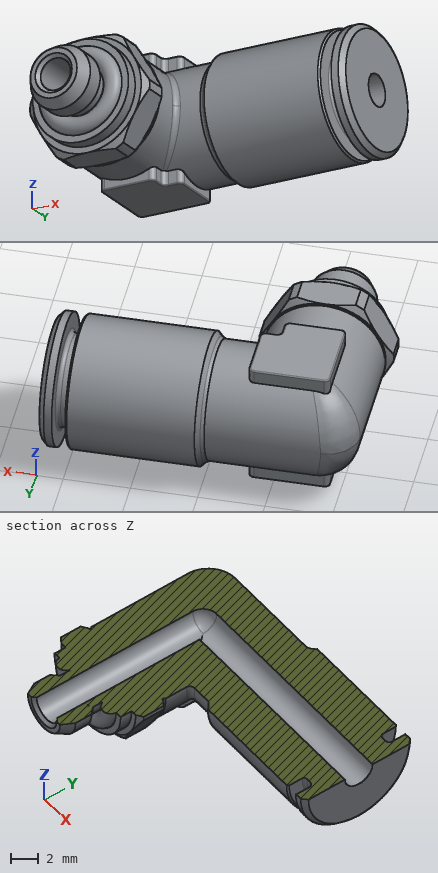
import cadquery as cq
import math


pipe_radius = 4.5
outer_bend_radius = 2.43
inner_bend_radius = 0.4

pad_size = 6.0
pad_notch = 1.5
pad_far = 3.75
pad_near = pad_far - pad_size
pad_height = 5.0
pad_corner_radius = 0.4
pad_edge_radius = 0.1

sleeve_radius = 5.0
shoulder_start = 6.57
shoulder_root = 6.85
shoulder_root_radius = 4.66
sleeve_start = 7.19
sleeve_end = 16.83
sleeve_chamfer = 0.15
neck_radius = 3.45
neck_fillet_sleeve = 0.24
neck_fillet_flange = 0.33
flange_start = 17.8
flange_end = 18.8
flange_chamfer = 0.4

pipe_end = -6.88
pipe_end_chamfer = 0.1
hex_top = -7.0
hex_bottom = -9.52
hex_across_flats = 9.0
hex_corner_radius = 5.0
hex_chamfer_height = 0.35
collar_radius = 4.0
collar_bottom = -10.52
seal_outer_radius = 3.45
seal_section_radius = 0.74
seal_bottom = -11.19
groove_radius = 2.0
groove_bottom = -11.52
thread_radius = 2.5
thread_top = -12.05
thread_bottom = -13.5
tip_radius = 1.95
tip_end = -14.5

bore_radius = 2.5 / 2
bore_chamfer = 0.29


def revolve_about_x(outline):
    return outline.close().revolve(360, (0, 0, 0), (1, 0, 0))


def revolve_about_y(outline):
    return outline.close().revolve(360, (0, 0, 0), (0, 1, 0))


def mitred_pipe():
    """Two equal pipes that meet on the mitre plane X = -Y."""
    arm = cq.Workplane("YZ").workplane(offset=-pipe_radius).circle(pipe_radius)
    arm = arm.extrude(shoulder_start + pipe_radius)
    leg = cq.Workplane("XZ").workplane(offset=-pipe_radius).circle(pipe_radius)
    leg = leg.extrude(pipe_radius - pipe_end).faces("<Y").chamfer(pipe_end_chamfer)
    reach = 2 * pipe_radius
    arm_side = cq.Workplane("XY").polyline([(-reach, reach), (reach, reach), (reach, -reach)])
    arm_side = arm_side.close().extrude(reach, both=True)
    return arm.intersect(arm_side).union(leg.cut(arm_side))


def pads():
    inner_far = pad_far - pad_notch
    outline = [
        (pad_near, -pad_near),
        (pad_far, -pad_near),
        (pad_far, -inner_far),
        (inner_far, -inner_far),
        (inner_far, -pad_far),
        (pad_near, -pad_far),
    ]
    block = cq.Workplane("XY").polyline(outline).close().extrude(pad_height, both=True)
    block = block.edges("|Z").fillet(pad_corner_radius)
    return block.faces("<Z or >Z").edges().fillet(pad_edge_radius)


def mitre_edges(near, far):
    """Box around the mitre edges that lie between two distances from both pipe axes."""
    return cq.selectors.BoxSelector((near, -near, -pipe_radius), (far, -far, pipe_radius))


def elbow():
    """Pipes and pads joined first, so that the bends run out under the pads."""
    body = mitred_pipe().union(pads())
    bend_near = 0.7 * pipe_radius
    body = body.edges(mitre_edges(-bend_near, -pipe_radius)).fillet(outer_bend_radius)
    return body.edges(mitre_edges(bend_near, pipe_radius)).fillet(inner_bend_radius)


def sleeve():
    """Shouldered sleeve with a necked flange at its free end."""
    start = pipe_radius
    arc = math.sqrt(0.5)
    flange_foot = flange_start - neck_fillet_flange
    sleeve_foot = sleeve_end + neck_fillet_sleeve
    outline = (
        cq.Workplane("XY")
        .moveTo(start, 0)
        .lineTo(start, pipe_radius)
        .lineTo(shoulder_start, pipe_radius)
        .lineTo(shoulder_root, shoulder_root_radius)
        .lineTo(sleeve_start, sleeve_radius)
        .lineTo(sleeve_end - sleeve_chamfer, sleeve_radius)
        .lineTo(sleeve_end, sleeve_radius - sleeve_chamfer)
        .lineTo(sleeve_end, neck_radius + neck_fillet_sleeve)
        .threePointArc(
            (sleeve_foot - neck_fillet_sleeve * arc, neck_radius + neck_fillet_sleeve * (1 - arc)),
            (sleeve_foot, neck_radius),
        )
        .lineTo(flange_foot, neck_radius)
        .threePointArc(
            (flange_foot + neck_fillet_flange * arc, neck_radius + neck_fillet_flange * (1 - arc)),
            (flange_start, neck_radius + neck_fillet_flange),
        )
        .lineTo(flange_start, sleeve_radius)
        .lineTo(flange_end - flange_chamfer, sleeve_radius)
        .lineTo(flange_end, sleeve_radius - flange_chamfer)
        .lineTo(flange_end, 0)
    )
    return revolve_about_x(outline)


def hexagon():
    """Hexagon with a flat facing +Z, its corners turned round and coned at both ends."""
    height = hex_top - hex_bottom
    corner_to_corner = hex_across_flats / math.cos(math.pi / 6)
    prism = cq.Workplane("XZ").workplane(offset=-hex_top).polygon(6, corner_to_corner).extrude(height)
    face_radius = hex_across_flats / 2
    turned = (
        cq.Workplane("XY")
        .moveTo(0, hex_top)
        .lineTo(face_radius, hex_top)
        .lineTo(hex_corner_radius, hex_top - hex_chamfer_height)
        .lineTo(hex_corner_radius, hex_bottom + hex_chamfer_height)
        .lineTo(face_radius, hex_bottom)
        .lineTo(0, hex_bottom)
    )
    return prism.intersect(revolve_about_y(turned))


def stem():
    """Core, collar, groove and threaded end."""
    core_radius = pipe_radius - pipe_end_chamfer
    outline = (
        cq.Workplane("XY")
        .moveTo(0, pipe_end)
        .lineTo(core_radius, pipe_end)
        .lineTo(core_radius, hex_top)
        .lineTo(collar_radius, hex_top)
        .lineTo(collar_radius, collar_bottom)
        .lineTo(groove_radius, collar_bottom)
        .lineTo(groove_radius, groove_bottom)
        .lineTo(thread_radius, thread_top)
        .lineTo(thread_radius, thread_bottom)
        .lineTo(tip_radius, tip_end)
        .lineTo(0, tip_end)
    )
    return revolve_about_y(outline)


def seal_ring():
    centre = (seal_outer_radius - seal_section_radius, seal_bottom + seal_section_radius)
    section = cq.Workplane("XY").center(*centre).circle(seal_section_radius)
    return section.revolve(360, (-centre[0], 0, 0), (-centre[0], 1, 0))


def passage():
    """Bore through the sleeve and the stem, with a ball-shaped turn at the elbow."""
    sleeve_bore = cq.Workplane("YZ").circle(bore_radius).extrude(flange_end)
    stem_bore = cq.Workplane("XZ").circle(bore_radius).extrude(-tip_end)
    turn = cq.Workplane("XY").sphere(bore_radius)
    mouth = (
        cq.Workplane("XY")
        .moveTo(0, tip_end)
        .lineTo(bore_radius + bore_chamfer, tip_end)
        .lineTo(bore_radius, tip_end + bore_chamfer)
        .lineTo(0, tip_end + bore_chamfer)
    )
    return sleeve_bore.union(stem_bore).union(turn).union(revolve_about_y(mouth))


body = elbow().union(sleeve()).union(hexagon()).union(stem()).union(seal_ring())
result = body.cut(passage())